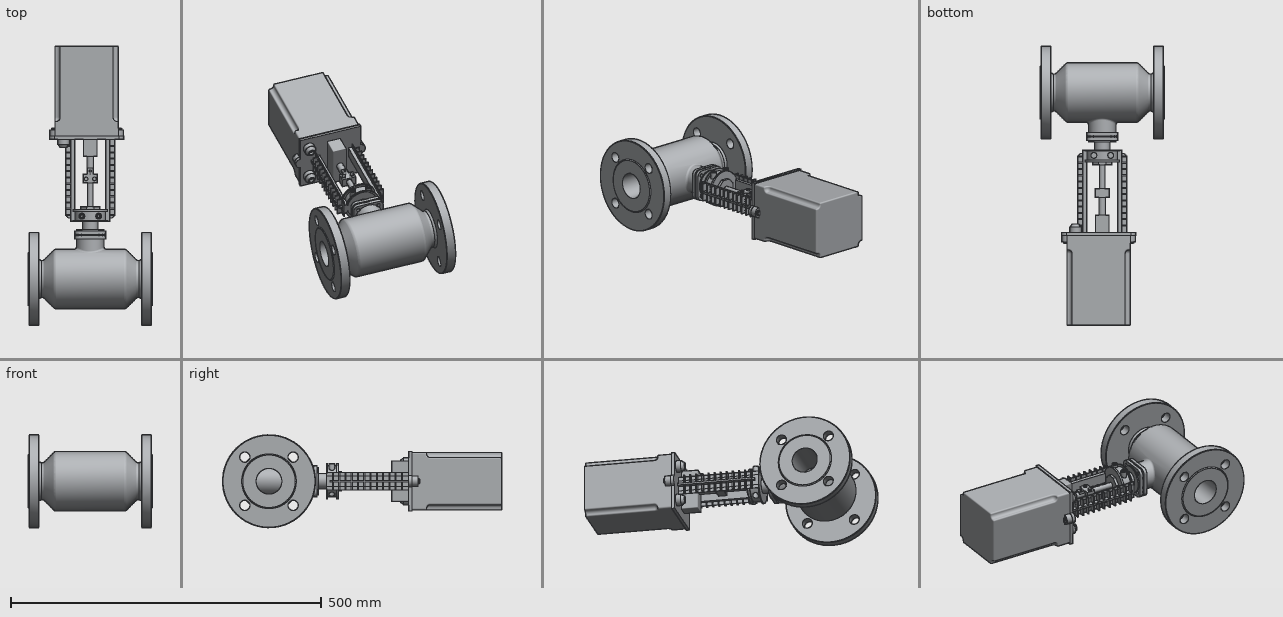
import cadquery as cq
import math

OVERALL_LENGTH = 450.0

FLANGE_DIA = 150.0
HALF_LENGTH = 100.0
RAISED_FACE_HEIGHT = 1.5
RAISED_FACE_BASE_RADIUS = 44.0
RAISED_FACE_RADIUS = 42.5
FLANGE_THICKNESS = 15.8
FLANGE_CHAMFER = 1.0
FLANGE_HOLE_DIA = 16.0
FLANGE_HOLE_COUNT = 4
BOLT_CIRCLE_RADIUS = 55.0
BORE_DIA = 41.5
PIPE_RADIUS = 29.92
PIPE_FLARE_RADIUS = 32.0
PIPE_FLARE_LENGTH = 4.0
SHELL_RADIUS = 48.0
SHELL_HALF_LENGTH = 57.0
SHELL_BLEND = 5.5
PIPE_BLEND = 4.0
PLUG_DIA = 45.0
PLUG_HALF_LENGTH = 29.5
NECK_DIA = 45.0
NECK_WELD_RADIUS = 3.0

PLATE_WIDTH = 50.5
PLATE_CORNER_RADIUS = 8.5
PLATE_THICKNESS = 5.5
PLATE_GAP = 2.2
NECK_TOP = 64.5
PLATE_BOLT_OFFSET = 17.0
PLATE_BOLT_HOLE_DIA = 6.0
BODY_PLATE_TOP = NECK_TOP + PLATE_THICKNESS
BONNET_PLATE_BOTTOM = BODY_PLATE_TOP + PLATE_GAP
BONNET_PLATE_TOP = BONNET_PLATE_BOTTOM + PLATE_THICKNESS
BONNET_RIM_HEIGHT = 2.2
BONNET_NECK_DIA = 25.0

YOKE_BOTTOM = 92.5
YOKE_TOP = 112.0
YOKE_RADIUS = 25.0
YOKE_RIM_RADIUS = 29.0
YOKE_TOP_RIM = 3.0
YOKE_BOTTOM_RIM = 2.0
SCREW_DIA = 9.5
SCREW_OFFSET = 13.5
SCREW_Y = 101.2
SCREW_CHAMFER = 1.0
SCREW_SOCKET_DIA = 4.0
SCREW_SOCKET_DEPTH = 2.5
COLUMN_OUTER = 32.0
COLUMN_THICKNESS = 1.5
COLUMN_HALF_HEIGHT = 14.5
COLUMN_RIB_INNER = 24.8
COLUMN_RIB_HALF_HEIGHT = 8.5
FIN_OUTER = 39.5
FIN_THICKNESS = 2.0
FIN_COUNT = 12
FIN_PITCH = 10.1
FIRST_FIN_Y = 103.0
WEB_THICKNESS = 3.0
WEB_END_Y = 98.0
WEB_END_CHAMFER = 4.5

STEM_DIA = 9.5
STEM_TANG_DEPTH = 4.5
NUT_ACROSS_FLATS = 31.0
NUT_SIDES = 8
NUT_HEIGHT = 4.5
COUPLER_BOTTOM = 155.0
COUPLER_TOP = 168.8
COUPLER_WIDTH = 23.0
COUPLER_HALF_HEIGHT = 7.0
COUPLER_TAB_TOP = 179.0
COUPLER_TAB_WIDTH = 9.0
COUPLER_SCREW_DIA = 6.0
COUPLER_SCREW_OFFSET = 6.8
COUPLER_SCREW_Y = 161.0
COUPLER_SCREW_HEIGHT = 2.2
TAB_SCREW_DIA = 3.5
TAB_SCREW_Y = 173.5
TAB_SCREW_HEIGHT = 1.5

ACTUATOR_X = -6.0
BASE_BOTTOM = 225.0
BASE_THICKNESS = 5.5
BASE_TOP = BASE_BOTTOM + BASE_THICKNESS
BASE_WIDTH = 104.0
BASE_HEIGHT = 96.0
HOUSING_WIDTH = 102.5
HOUSING_HEIGHT = 93.0
HOUSING_TOP = OVERALL_LENGTH - FLANGE_DIA / 2
HOUSING_EDGE_RADIUS = 2.5
HOUSING_BACK_RADIUS = 2.2
COVE_START = 254.0
COVE_DEPTH = 8.5
COVE_RADIUS = 6.0
COVE_EDGE_RADIUS = 2.2
EAR_OFFSET = 51.0
EAR_RADIUS = 9.0
EAR_BOSS_RADIUS = 8.5
EAR_BOSS_TOP = 240.5
EAR_TIP_DIA = 8.5
EAR_TIP_HEIGHT = 2.5
EAR_TIP_CHAMFER = 1.5
EAR_TIP_OFFSET = 52.5
GUIDE_WIDTH = 22.5
GUIDE_HEIGHT = 65.2
GUIDE_BOTTOM = 197.5
GUIDE_EDGE_RADIUS = 1.5
SPINDLE_DIA = 11.2

GLAND_X = -43.0
GLAND_Z = 29.0
GLAND_DIA = 19.0
GLAND_BODY_LENGTH = 8.0
GLAND_CAP_RADIUS = 9.0
GLAND_TIP_RADIUS = 5.5
GLAND_TIP_LENGTH = 5.5
GLAND_HOLE_DIA = 7.5
GLAND_HOLE_DEPTH = 5.5


def box(x0, x1, y0, y1, z0, z1):
    """Box between two opposite corners."""
    return cq.Workplane("XY").box(x1 - x0, y1 - y0, z1 - z0, centered=False).translate((x0, y0, z0))


def y_sketch(y):
    """Workplane across the Y axis at height y, extruding toward +Y; its local axes are X and -Z."""
    return cq.Workplane("XZ", origin=(0, y, 0)).transformed(rotate=(180, 0, 0))


def y_cylinder(diameter, y0, y1, x=0.0, z=0.0):
    """Cylinder along Y between two heights."""
    return y_sketch(y0).center(x, -z).circle(diameter / 2).extrude(y1 - y0)


def z_cylinder(diameter, z0, z1, x, y):
    """Cylinder along Z between two heights."""
    return cq.Workplane("XY", origin=(x, y, z0)).circle(diameter / 2).extrude(z1 - z0)


def mirror_x(shape):
    """The shape together with its copy across the YZ plane."""
    return shape.union(shape.mirror("YZ"))


def bolted_plate(y):
    """Square plate with round corners and four bolt holes."""
    spread = 2 * PLATE_BOLT_OFFSET
    plate = y_sketch(y).rect(PLATE_WIDTH, PLATE_WIDTH).extrude(PLATE_THICKNESS)
    plate = plate.edges("|Y").fillet(PLATE_CORNER_RADIUS)
    holes = (
        y_sketch(y).rect(spread, spread, forConstruction=True).vertices()
        .circle(PLATE_BOLT_HOLE_DIA / 2).extrude(PLATE_THICKNESS)
    )
    return plate.cut(holes)


def make_shell():
    """Welded pipe body with conical ends."""
    cone_end = SHELL_HALF_LENGTH + SHELL_RADIUS - PIPE_RADIUS
    flange_back = HALF_LENGTH - RAISED_FACE_HEIGHT - FLANGE_THICKNESS
    flare_start = flange_back - PIPE_FLARE_LENGTH
    half_outline = [
        (cone_end, PIPE_RADIUS),
        (flare_start, PIPE_RADIUS),
        (flange_back, PIPE_FLARE_RADIUS),
        (flange_back, 0),
    ]
    outline = [(-x, r) for x, r in reversed(half_outline)]
    outline += [(-SHELL_HALF_LENGTH, SHELL_RADIUS), (SHELL_HALF_LENGTH, SHELL_RADIUS)]
    outline += half_outline
    shell = cq.Workplane("XY").polyline(outline).close().revolve(360, (0, 0), (1, 0))
    for end_x, radius, blend in (
        (SHELL_HALF_LENGTH, SHELL_RADIUS, SHELL_BLEND),
        (cone_end, PIPE_RADIUS, PIPE_BLEND),
    ):
        for side in (-1, 1):
            x = side * end_x
            ring = cq.selectors.BoxSelector((x - 0.5, -radius - 4.5, -radius - 4.5),
                                            (x + 0.5, radius + 4.5, radius + 4.5), boundingbox=True)
            shell = shell.edges(ring).fillet(blend)
    return shell


def make_flange():
    """End flange at +X with its raised face and bolt holes."""
    face = HALF_LENGTH - RAISED_FACE_HEIGHT
    back = face - FLANGE_THICKNESS
    rim = FLANGE_DIA / 2
    outline = [
        (back, 0),
        (back, rim - FLANGE_CHAMFER),
        (back + FLANGE_CHAMFER, rim),
        (face - FLANGE_CHAMFER, rim),
        (face, rim - FLANGE_CHAMFER),
        (face, RAISED_FACE_BASE_RADIUS),
        (HALF_LENGTH, RAISED_FACE_RADIUS),
        (HALF_LENGTH, 0),
    ]
    flange = cq.Workplane("XY").polyline(outline).close().revolve(360, (0, 0), (1, 0))
    holes = (
        cq.Workplane("YZ", origin=(back, 0, 0))
        .polarArray(BOLT_CIRCLE_RADIUS, 180 / FLANGE_HOLE_COUNT, 360, FLANGE_HOLE_COUNT)
        .circle(FLANGE_HOLE_DIA / 2).extrude(FLANGE_THICKNESS)
    )
    return flange.cut(holes)


def make_valve_body():
    shell = make_shell().union(y_cylinder(NECK_DIA, 0, NECK_TOP))
    weld = cq.selectors.BoxSelector((-NECK_DIA, PIPE_RADIUS, -NECK_DIA),
                                    (NECK_DIA, SHELL_RADIUS + 0.5, NECK_DIA))
    weld_edges = shell.edges(weld).edges("not %LINE").edges("not %CIRCLE")
    body = weld_edges.fillet(NECK_WELD_RADIUS)
    body = body.union(mirror_x(make_flange())).union(bolted_plate(NECK_TOP))
    bore = cq.Workplane("YZ", origin=(-HALF_LENGTH, 0, 0)).circle(BORE_DIA / 2).extrude(2 * HALF_LENGTH)
    plug_seat = y_cylinder(PLUG_DIA, -PLUG_HALF_LENGTH, PLUG_HALF_LENGTH)
    return body.cut(bore).cut(plug_seat).cut(y_cylinder(STEM_DIA, 0, BODY_PLATE_TOP))


def make_plug():
    """Cylindrical plug closing the bore, with a socket for the end of the stem."""
    plug = y_cylinder(PLUG_DIA, -PLUG_HALF_LENGTH, PLUG_HALF_LENGTH)
    return plug.cut(y_cylinder(STEM_DIA, PLUG_HALF_LENGTH - STEM_TANG_DEPTH, PLUG_HALF_LENGTH))


def make_bonnet():
    spigot = y_cylinder(NECK_DIA, BODY_PLATE_TOP, BONNET_PLATE_BOTTOM)
    rim = y_cylinder(NECK_DIA, BONNET_PLATE_TOP, BONNET_PLATE_TOP + BONNET_RIM_HEIGHT)
    neck = y_cylinder(BONNET_NECK_DIA, BONNET_PLATE_TOP, YOKE_TOP)
    bonnet = bolted_plate(BONNET_PLATE_BOTTOM).union(spigot).union(rim).union(neck)
    return bonnet.cut(y_cylinder(STEM_DIA, BODY_PLATE_TOP, YOKE_TOP))


def make_column():
    """Ribbed column at +X: flat plate, inner rib, outer web and cross fins."""
    plate_inner = COLUMN_OUTER - COLUMN_THICKNESS
    column = box(plate_inner, COLUMN_OUTER, YOKE_BOTTOM, BASE_BOTTOM,
                 -COLUMN_HALF_HEIGHT, COLUMN_HALF_HEIGHT)
    rib = box(COLUMN_RIB_INNER, plate_inner, YOKE_BOTTOM, BASE_BOTTOM,
              -COLUMN_RIB_HALF_HEIGHT, COLUMN_RIB_HALF_HEIGHT)
    web = box(COLUMN_OUTER, FIN_OUTER, WEB_END_Y, BASE_BOTTOM, -WEB_THICKNESS / 2, WEB_THICKNESS / 2)
    web = web.edges(">X and <Y").chamfer(WEB_END_CHAMFER)
    column = column.union(rib).union(web)
    for index in range(FIN_COUNT):
        y = FIRST_FIN_Y + index * FIN_PITCH
        fin = box(COLUMN_OUTER, FIN_OUTER, y - FIN_THICKNESS / 2, y + FIN_THICKNESS / 2,
                  -COLUMN_HALF_HEIGHT, COLUMN_HALF_HEIGHT)
        column = column.union(fin)
    return column


def make_yoke():
    hub = y_cylinder(2 * YOKE_RADIUS, YOKE_BOTTOM, YOKE_TOP)
    top_rim = y_cylinder(2 * YOKE_RIM_RADIUS, YOKE_TOP - YOKE_TOP_RIM, YOKE_TOP)
    bottom_rim = y_cylinder(2 * YOKE_RIM_RADIUS, YOKE_BOTTOM, YOKE_BOTTOM + YOKE_BOTTOM_RIM)
    yoke = hub.union(top_rim).union(bottom_rim).union(mirror_x(make_column()))
    yoke = yoke.cut(y_cylinder(BONNET_NECK_DIA, YOKE_BOTTOM, YOKE_TOP))
    socket_floor = YOKE_RIM_RADIUS - SCREW_SOCKET_DEPTH
    for x in (-SCREW_OFFSET, SCREW_OFFSET):
        screw = z_cylinder(SCREW_DIA, SCREW_OFFSET, YOKE_RIM_RADIUS, x, SCREW_Y)
        yoke = yoke.union(screw.faces(">Z").chamfer(SCREW_CHAMFER))
        yoke = yoke.cut(z_cylinder(SCREW_SOCKET_DIA, socket_floor, YOKE_RIM_RADIUS, x, SCREW_Y))
        yoke = yoke.cut(z_cylinder(SCREW_DIA, -YOKE_RIM_RADIUS, -SCREW_OFFSET, x, SCREW_Y))
    return yoke


def make_stem():
    return y_cylinder(STEM_DIA, PLUG_HALF_LENGTH - STEM_TANG_DEPTH, COUPLER_TOP)


def make_nut():
    across_corners = NUT_ACROSS_FLATS / math.cos(math.pi / NUT_SIDES)
    nut = y_sketch(YOKE_TOP).polygon(NUT_SIDES, across_corners).extrude(NUT_HEIGHT)
    nut = nut.rotate((0, 0, 0), (0, 1, 0), 180 / NUT_SIDES)
    return nut.cut(y_cylinder(STEM_DIA, YOKE_TOP, YOKE_TOP + NUT_HEIGHT))


def make_coupler():
    """Block on the stem with a screwed tab lying on the spindle."""
    top = COUPLER_HALF_HEIGHT
    coupler = box(-COUPLER_WIDTH / 2, COUPLER_WIDTH / 2, COUPLER_BOTTOM, COUPLER_TOP, -top, top)
    coupler = coupler.cut(y_cylinder(STEM_DIA, COUPLER_BOTTOM, COUPLER_TOP))
    tab = box(-COUPLER_TAB_WIDTH / 2, COUPLER_TAB_WIDTH / 2, COUPLER_TOP, COUPLER_TAB_TOP, 0, top)
    coupler = coupler.union(tab.cut(y_cylinder(SPINDLE_DIA, COUPLER_TOP, COUPLER_TAB_TOP)))
    for x in (-COUPLER_SCREW_OFFSET, COUPLER_SCREW_OFFSET):
        head = z_cylinder(COUPLER_SCREW_DIA, top, top + COUPLER_SCREW_HEIGHT, x, COUPLER_SCREW_Y)
        coupler = coupler.union(head)
    return coupler.union(z_cylinder(TAB_SCREW_DIA, top, top + TAB_SCREW_HEIGHT, 0, TAB_SCREW_Y))


def make_housing():
    """Motor housing with a cove along each long edge, centred on X = 0."""
    depth = HOUSING_TOP - BASE_TOP
    housing = y_sketch(BASE_TOP).rect(HOUSING_WIDTH, HOUSING_HEIGHT).extrude(depth)
    housing = housing.edges("|Y").fillet(HOUSING_EDGE_RADIUS)
    inner_x = HOUSING_WIDTH / 2 - COVE_DEPTH
    inner_z = HOUSING_HEIGHT / 2 - COVE_DEPTH
    for x_side in (-1, 1):
        for z_side in (-1, 1):
            cove = box(inner_x, HOUSING_WIDTH, COVE_START, HOUSING_TOP, inner_z, HOUSING_HEIGHT)
            cove = cove.edges("(<X and <Z) or (<X and <Y) or (<Y and <Z)").fillet(COVE_RADIUS)
            if x_side < 0:
                cove = cove.mirror("YZ")
            if z_side < 0:
                cove = cove.mirror("XY")
            housing = housing.cut(cove)
            rim_edge = cq.selectors.BoxSelector(
                (x_side * inner_x - 0.5, COVE_START, z_side * HOUSING_HEIGHT / 2 - 0.5),
                (x_side * inner_x + 0.5, HOUSING_TOP, z_side * HOUSING_HEIGHT / 2 + 0.5))
            housing = housing.edges(rim_edge).edges("|Y").fillet(COVE_EDGE_RADIUS)
    return housing.faces(">Y").edges().fillet(HOUSING_BACK_RADIUS)


def make_ear():
    """Rounded ear of the base at +X with its screw boss, measured from the housing centre."""
    ear = y_cylinder(2 * EAR_RADIUS, BASE_BOTTOM, BASE_TOP, EAR_OFFSET)
    boss = y_cylinder(2 * EAR_BOSS_RADIUS, BASE_TOP, EAR_BOSS_TOP, EAR_OFFSET)
    tip = y_cylinder(EAR_TIP_DIA, EAR_BOSS_TOP, EAR_BOSS_TOP + EAR_TIP_HEIGHT, EAR_TIP_OFFSET)
    return ear.union(boss).union(tip.faces(">Y").chamfer(EAR_TIP_CHAMFER))


def make_actuator():
    base = y_sketch(BASE_BOTTOM).rect(BASE_WIDTH, BASE_HEIGHT).extrude(BASE_THICKNESS)
    motor = make_housing().union(base).union(mirror_x(make_ear())).translate((ACTUATOR_X, 0, 0))
    guide = box(-GUIDE_WIDTH / 2, GUIDE_WIDTH / 2, GUIDE_BOTTOM, BASE_BOTTOM,
                -GUIDE_HEIGHT / 2, GUIDE_HEIGHT / 2)
    guide = guide.edges("|Y").fillet(GUIDE_EDGE_RADIUS)
    guide = guide.faces("<Y").edges().fillet(GUIDE_EDGE_RADIUS / 2)
    spindle = y_cylinder(SPINDLE_DIA, COUPLER_TOP, GUIDE_BOTTOM)
    return motor.union(guide).union(spindle)


def make_cable_gland(z):
    body_end = BASE_BOTTOM - GLAND_BODY_LENGTH
    tip_end = body_end - GLAND_TIP_LENGTH
    gland = y_cylinder(GLAND_DIA, body_end, BASE_BOTTOM, GLAND_X, z)
    cap = (
        cq.Workplane("XZ", origin=(GLAND_X, body_end, z)).circle(GLAND_CAP_RADIUS)
        .workplane(offset=GLAND_TIP_LENGTH).circle(GLAND_TIP_RADIUS).loft()
    )
    hole = y_cylinder(GLAND_HOLE_DIA, tip_end, tip_end + GLAND_HOLE_DEPTH, GLAND_X, z)
    return gland.union(cap).cut(hole)


valve_body = make_valve_body()
plug = make_plug()
bonnet = make_bonnet()
yoke = make_yoke()
stem = make_stem()
nut = make_nut()
coupler = make_coupler()
actuator = make_actuator()
cable_glands = [make_cable_gland(z) for z in (-GLAND_Z, GLAND_Z)]

result = cq.Compound.makeCompound([
    valve_body.val(),
    plug.val(),
    bonnet.val(),
    yoke.val(),
    stem.val(),
    nut.val(),
    coupler.val(),
    actuator.val(),
    *[gland.val() for gland in cable_glands],
])